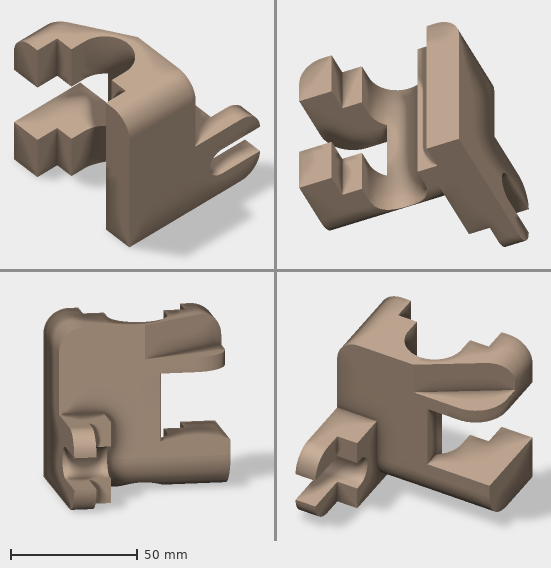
import cadquery as cq
import math

WIDTH = 69.0
HEIGHT = 68.0
BODY_DEPTH = 35.0
EDGE_RADIUS = 10.0
LARGE_RADIUS = 14.0

BORE_RADIUS = 12.0
BORE_X = WIDTH / 2
BORE_Y = BODY_DEPTH / 2
RECESS_DEPTH = 10.5
RECESS_WIDTH = WIDTH - 2 * LARGE_RADIUS

JAW_HEIGHT = 20.0
OPENING_TOP = HEIGHT - JAW_HEIGHT
OPENING_X = 28.15
OPENING_CURVE_END_Y = 28.0
LIP_X = 26.4
LIP_Y = BORE_Y + math.sqrt(BORE_RADIUS**2 - (BORE_X - LIP_X) ** 2)
LIP_CURVE_RADIUS = 20.7

CUT_HEIGHT = 14.0
CUT_FRONT_Y = 14.15

LUG_LENGTH = WIDTH - BODY_DEPTH
LUG_HEIGHT = 33.0
LUG_WIDTH = 9.0
LUG_BASE_WIDTH = 2 * LUG_WIDTH
LUG_BASE_LENGTH = 16.0
LUG_SLOT_WIDTH = 13.0
LUG_SLOT_END_Y = 42.5


def box(x_start, x_end, y_start, y_end, z_start, z_end):
    """Return a box between the given limits."""
    return cq.Workplane("XY").box(
        x_end - x_start, y_end - y_start, z_end - z_start, centered=False
    ).translate((x_start, y_start, z_start))


def make_blank():
    """Block with rounded upper side edges and a rounded lower back edge."""
    block = box(0, WIDTH, 0, BODY_DEPTH, 0, HEIGHT)
    block = block.edges("|Y and >Z").fillet(EDGE_RADIUS)
    return block.edges("|X and >Y and <Z").fillet(LARGE_RADIUS)


def make_bore():
    """Round-backed channel with its wider front recess."""
    channel = box(BORE_X - BORE_RADIUS, BORE_X + BORE_RADIUS, 0, BORE_Y, 0, HEIGHT)
    round_back = cq.Workplane("XY").center(BORE_X, BORE_Y).circle(BORE_RADIUS).extrude(HEIGHT)
    recess_left = BORE_X - RECESS_WIDTH / 2
    recess = box(recess_left, recess_left + RECESS_WIDTH, 0, RECESS_DEPTH, 0, HEIGHT)
    return channel.union(round_back).union(recess)


def make_opening():
    """Opening through the left side, its end wall curving forward to the bore."""
    return (
        cq.Workplane("XY", origin=(0, 0, JAW_HEIGHT))
        .lineTo(LIP_X, 0)
        .lineTo(LIP_X, LIP_Y)
        .radiusArc((OPENING_X, OPENING_CURVE_END_Y), LIP_CURVE_RADIUS)
        .lineTo(OPENING_X, BODY_DEPTH)
        .lineTo(0, BODY_DEPTH)
        .close()
        .extrude(OPENING_TOP - JAW_HEIGHT)
    )


def make_oblique_cut():
    """Triangular relief that leaves a thin shelf behind the upper jaw."""
    outline = [(0, CUT_FRONT_Y), (BORE_X, BODY_DEPTH), (0, BODY_DEPTH)]
    cut_floor = cq.Workplane("XY", origin=(0, 0, HEIGHT - CUT_HEIGHT))
    return cut_floor.polyline(outline).close().extrude(CUT_HEIGHT)


def make_shelf_corner():
    """Waste outside the rounded back corner of the upper jaw shelf."""
    corner = box(0, LARGE_RADIUS, BODY_DEPTH - LARGE_RADIUS, BODY_DEPTH, OPENING_TOP, HEIGHT)
    round_tool = (
        cq.Workplane("XY", origin=(0, 0, OPENING_TOP))
        .center(LARGE_RADIUS, BODY_DEPTH - LARGE_RADIUS)
        .circle(LARGE_RADIUS)
        .extrude(JAW_HEIGHT)
    )
    return corner.cut(round_tool)


def make_lug():
    """Stepped lug with rounded rear corners and an open slot."""
    root_y = BODY_DEPTH - LARGE_RADIUS
    tongue = box(WIDTH - LUG_WIDTH, WIDTH, root_y, BODY_DEPTH + LUG_LENGTH, 0, LUG_HEIGHT)
    tongue = tongue.edges("|X and >Y").fillet(EDGE_RADIUS)
    base_end_y = BODY_DEPTH + LUG_BASE_LENGTH
    base = box(WIDTH - LUG_BASE_WIDTH, WIDTH - LUG_WIDTH, root_y, base_end_y, 0, LUG_HEIGHT)

    slot_radius = LUG_SLOT_WIDTH / 2
    slot_z = LUG_HEIGHT / 2
    slot_center_y = LUG_SLOT_END_Y + slot_radius
    slot = box(
        WIDTH - LUG_BASE_WIDTH, WIDTH, slot_center_y, WIDTH,
        slot_z - slot_radius, slot_z + slot_radius,
    )
    slot_round = (
        cq.Workplane("YZ", origin=(WIDTH - LUG_BASE_WIDTH, 0, 0))
        .center(slot_center_y, slot_z)
        .circle(slot_radius)
        .extrude(LUG_BASE_WIDTH)
    )
    return tongue.union(base).cut(slot.union(slot_round))


body = make_blank().cut(make_opening()).cut(make_oblique_cut()).cut(make_shelf_corner())
result = body.union(make_lug()).cut(make_bore())